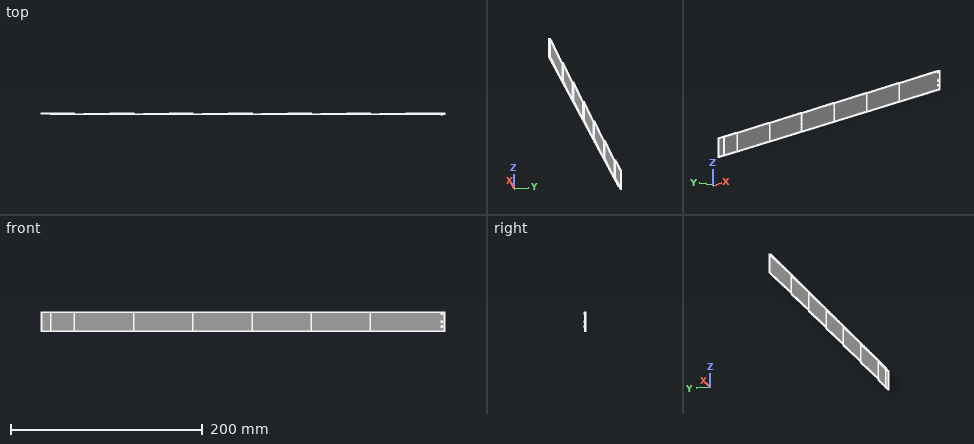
import cadquery as cq

length = 420.9
height = 20.0
strip_thickness = 1.25
pin_height = 0.35

front_y = pin_height
back_y = front_y + strip_thickness

lip_length = 9.8
lip_thickness = strip_thickness / 2

tooth_count = 6
tooth_pitch = 61.75
first_step_x = 34.6
root_thickness = 0.07
root_y = front_y + root_thickness

pin_diameter = 1.4
pin_end_distance = 3.0
pin_x = length - pin_end_distance
pin_levels = (5.0, 10.0, 18.8)

def sawtooth_back():
    """Points of the back face from the first step to the end of the last ramp."""
    points = []
    for tooth in range(tooth_count):
        step_x = first_step_x + tooth * tooth_pitch
        points.append((step_x, back_y))
        points.append((step_x, root_y))
    ramp_end_x = first_step_x + tooth_count * tooth_pitch
    points.append((ramp_end_x, back_y))
    return points

def strip():
    """Strip with the lip and the sawtooth back, extruded over the full height."""
    lip_front_y = back_y - lip_thickness
    outline = [(0, lip_front_y), (0, back_y)]
    outline += sawtooth_back()
    outline += [
        (length, back_y),
        (length, front_y),
        (lip_length, front_y),
        (lip_length, lip_front_y),
    ]
    return cq.Workplane("XY").polyline(outline).close().extrude(height)

def pin(z):
    """Pin from the front face outward to y = 0."""
    plane = cq.Workplane("XZ", origin=(pin_x, front_y, z))
    return plane.circle(pin_diameter / 2).extrude(pin_height)

result = strip()
for pin_z in pin_levels:
    result = result.union(pin(pin_z))